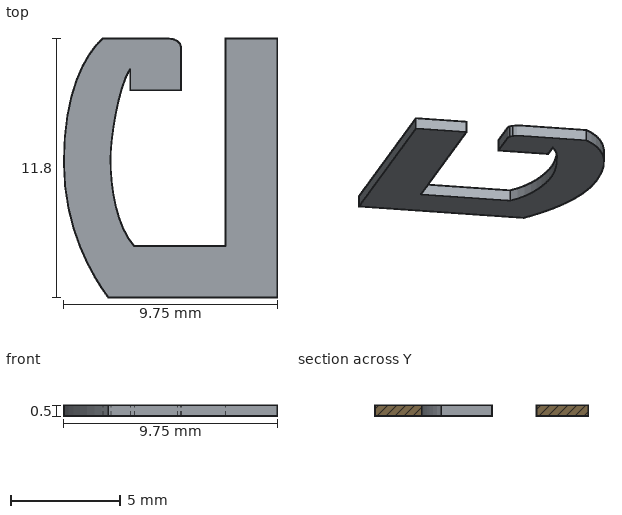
import cadquery as cq


WIDTH = 9.75
HEIGHT = 11.84
THICKNESS = 0.5

STROKE = HEIGHT / 5
LEG_INNER_X = WIDTH - STROKE
FOOT_TOP_Y = STROKE
LIP_BOTTOM_Y = HEIGHT - STROKE
LIP_RIGHT_X = 5.36
LIP_LEFT_X = 3.03

CORNER_WIDTH = 0.58
CORNER_HEIGHT = 0.40
CORNER_FLATS = 4
ELLIPSE_PULL = 0.5523

BACK_FLATS = 8

OUTER_TOP = (1.775, HEIGHT)
OUTER_MIDDLE = (0.0, 6.17)
OUTER_BOTTOM = (2.035, 0.0)
OUTER_TOP_HANDLE = (0.935, 11.07)
OUTER_BOTTOM_HANDLE = (1.29, 1.015)
OUTER_UPPER_PULL = 3.19
OUTER_LOWER_PULL = 3.02

INNER_TOP = (LIP_LEFT_X, 10.44)
INNER_MIDDLE = (2.14, 6.34)
INNER_BOTTOM = (3.21, FOOT_TOP_Y)
INNER_TOP_HANDLE = (2.485, 9.59)
INNER_BOTTOM_HANDLE = (2.425, 3.265)
INNER_UPPER_PULL = 0.91
INNER_LOWER_PULL = 1.375


def faceted_curve(start, start_handle, end_handle, end, flats):
    """Points along a cubic Bezier curve, divided evenly in its parameter."""
    points = []
    for step in range(flats + 1):
        t = step / flats
        s = 1 - t
        weights = (s**3, 3 * t * s**2, 3 * t**2 * s, t**3)
        controls = (start, start_handle, end_handle, end)
        x = sum(w * p[0] for w, p in zip(weights, controls))
        y = sum(w * p[1] for w, p in zip(weights, controls))
        points.append((x, y))
    return points


def back_edge(top, top_handle, upper_pull, middle, lower_pull, bottom_handle, bottom):
    """One edge of the back, top to bottom, vertical at its middle point."""
    above_middle = (middle[0], middle[1] + upper_pull)
    below_middle = (middle[0], middle[1] - lower_pull)
    upper = faceted_curve(top, top_handle, above_middle, middle, BACK_FLATS)
    lower = faceted_curve(middle, below_middle, bottom_handle, bottom, BACK_FLATS)
    return upper + lower[1:]


def lip_corner():
    """Rounded upper right corner of the lip, from its right side to its top."""
    start = (LIP_RIGHT_X, HEIGHT - CORNER_HEIGHT)
    end = (LIP_RIGHT_X - CORNER_WIDTH, HEIGHT)
    start_handle = (start[0], start[1] + ELLIPSE_PULL * CORNER_HEIGHT)
    end_handle = (end[0] + ELLIPSE_PULL * CORNER_WIDTH, end[1])
    return faceted_curve(start, start_handle, end_handle, end, CORNER_FLATS)


def hook_outline():
    """Closed outline, starting down the outer edge of the back."""
    outer_edge = back_edge(
        OUTER_TOP, OUTER_TOP_HANDLE, OUTER_UPPER_PULL, OUTER_MIDDLE,
        OUTER_LOWER_PULL, OUTER_BOTTOM_HANDLE, OUTER_BOTTOM,
    )
    inner_edge = back_edge(
        INNER_TOP, INNER_TOP_HANDLE, INNER_UPPER_PULL, INNER_MIDDLE,
        INNER_LOWER_PULL, INNER_BOTTOM_HANDLE, INNER_BOTTOM,
    )
    leg = [(WIDTH, 0), (WIDTH, HEIGHT), (LEG_INNER_X, HEIGHT), (LEG_INNER_X, FOOT_TOP_Y)]
    lip_underside = [(LIP_LEFT_X, LIP_BOTTOM_Y), (LIP_RIGHT_X, LIP_BOTTOM_Y)]
    return outer_edge + leg + inner_edge[::-1] + lip_underside + lip_corner()


result = cq.Workplane("XY").polyline(hook_outline()).close().extrude(THICKNESS)